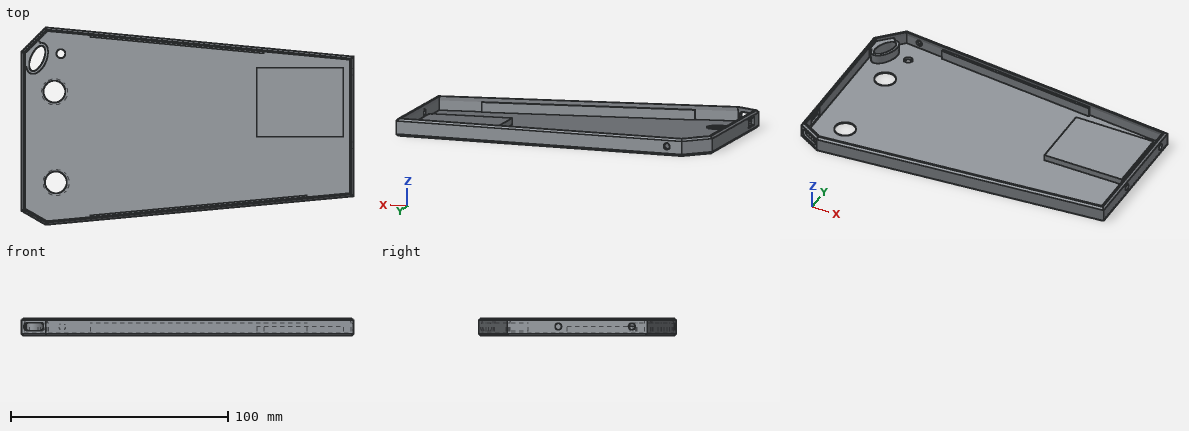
import cadquery as cq

length = 153.1
width = 91.06
height = 8.1
corner_length = 11.3
upper_corner_drop = 11.3
lower_corner_rise = 6.5
narrow_end_low = 13.1
narrow_end_high = 77.6
edge_chamfer = 1.0

floor_thickness = 1.5
wall_thickness = 1.35
rim_thickness = 1.7
lip_height = 2.0
lip_bottom = height - lip_height

rib_reach = 2.5
rib_start = 31.7
upper_rib_end = 111.6
lower_rib_end = 131.5

pad_length = 40.0
pad_width = 32.0
pad_height = 3.0
pad_center = (128.4, 56.5)

oval_center = (7.3, 76.7)
oval_major_radius = 6.2
oval_minor_radius = 2.9
oval_angle = 66.0
collar_thickness = 1.4

web_low_y = 71.1
web_wall_point = (6.8, 86.0)
web_collar_point = (8.7, 84.1)

large_hole_diameter = 10.0
large_hole_centers = [(15.2, 61.4), (15.9, 19.6)]
small_hole_diameter = 4.0
small_hole_center = (18.2, 78.9)

wall_hole_diameter = 3.0
wall_hole_z = 4.3
side_hole_x = 18.8
end_hole_ys = [70.6, 36.7]
slot_bottom = 2.4
slot_top = lip_bottom
slot_height = slot_top - slot_bottom
slot_mid_z = (slot_bottom + slot_top) / 2
port_low = 13.8
port_high = 22.5
corner_slot_length = 10.4
cut_reach = 4.0

OUTLINE = [
    (0, lower_corner_rise),
    (corner_length, 0),
    (length, narrow_end_low),
    (length, narrow_end_high),
    (corner_length, width),
    (0, width - upper_corner_drop),
]

WEB_OUTLINE = [
    oval_center,
    (0, web_low_y),
    (0, width - upper_corner_drop),
    web_wall_point,
    web_collar_point,
]


def outline(inset, z):
    """Plate outline moved inward by inset, on the plane at height z."""
    sketch = cq.Workplane("XY", origin=(0, 0, z)).polyline(OUTLINE).close()
    return sketch.offset2D(-inset, "intersection") if inset else sketch


def frustum(inset_low, z_low, inset_high, z_high):
    """Solid between two inset outlines."""
    low = outline(inset_low, z_low).val()
    high = outline(inset_high, z_high).val()
    return cq.Workplane(cq.Solid.makeLoft([low, high], True))


def prism(inset, z_low, z_high):
    return outline(inset, z_low).extrude(z_high - z_low)


def tray():
    body = prism(0, 0, height).faces("<Z or >Z").edges().chamfer(edge_chamfer)
    cavity = prism(wall_thickness, floor_thickness, lip_bottom)
    mouth = frustum(wall_thickness, lip_bottom, rim_thickness, height)
    return body.cut(cavity).cut(mouth)


def rib_zone(end, y_low):
    """Half of the tray, split along X, between the rib start and end."""
    block = cq.Workplane("XY").box(end - rib_start, width / 2, height, centered=False)
    return block.translate((rib_start, y_low, 0))


def ribs():
    """Bands along the two long walls, level with the bottom of the lip."""
    outer = prism(wall_thickness, floor_thickness, lip_bottom)
    inner = prism(rib_reach, floor_thickness, lip_bottom)
    zones = rib_zone(upper_rib_end, width / 2).union(rib_zone(lower_rib_end, 0))
    return outer.cut(inner).intersect(zones)


def pad():
    sketch = cq.Workplane("XY", origin=(*pad_center, floor_thickness))
    return sketch.rect(pad_length, pad_width).extrude(pad_height)


def oval(growth, z_top):
    """Upright oval column, its radii increased by growth."""
    sketch = cq.Workplane("XY").ellipse(oval_major_radius + growth, oval_minor_radius + growth)
    column = sketch.extrude(z_top)
    return column.rotate((0, 0, 0), (0, 0, 1), oval_angle).translate((*oval_center, 0))


def collar():
    web = cq.Workplane("XY").polyline(WEB_OUTLINE).close().extrude(lip_bottom)
    ring = oval(collar_thickness, lip_bottom).union(web)
    return ring.intersect(prism(edge_chamfer, 0, height))


def large_holes():
    """Round holes with a chamfered edge on the underside."""
    radius = large_hole_diameter / 2
    holes = cq.Workplane("XY").pushPoints(large_hole_centers).circle(radius).extrude(floor_thickness)
    for center in large_hole_centers:
        cone = cq.Solid.makeCone(radius + edge_chamfer, radius, edge_chamfer, cq.Vector(*center, 0))
        holes = holes.union(cq.Workplane(cone))
    return holes


def small_hole():
    sketch = cq.Workplane("XY").center(*small_hole_center).circle(small_hole_diameter / 2)
    return sketch.extrude(floor_thickness)


def end_holes():
    sketch = cq.Workplane("YZ", origin=(length - cut_reach, 0, 0))
    centers = [(y, wall_hole_z) for y in end_hole_ys]
    return sketch.pushPoints(centers).circle(wall_hole_diameter / 2).extrude(cut_reach)


def side_hole():
    """Hole through the tapering +Y wall, square to the wall."""
    taper = (width - narrow_end_high) / (length - corner_length)
    wall_y = width - taper * (side_hole_x - corner_length)
    wall_plane = cq.Plane(
        origin=(side_hole_x, wall_y, wall_hole_z),
        xDir=(1, -taper, 0),
        normal=(taper, 1, 0),
    )
    return cq.Workplane(wall_plane).circle(wall_hole_diameter / 2).extrude(cut_reach, both=True)


def port():
    block = cq.Workplane("XY").box(2 * cut_reach, port_high - port_low, slot_height, centered=False)
    return block.translate((-cut_reach, port_low, slot_bottom))


def corner_slot():
    """Round-ended slot square to the -Y cut corner."""
    face_plane = cq.Plane(
        origin=(corner_length / 2, lower_corner_rise / 2, slot_mid_z),
        xDir=(corner_length, -lower_corner_rise, 0),
        normal=(-lower_corner_rise, -corner_length, 0),
    )
    return cq.Workplane(face_plane).slot2D(corner_slot_length, slot_height).extrude(cut_reach, both=True)


result = tray().union(ribs()).union(pad()).union(collar())
result = result.cut(oval(0, height)).cut(large_holes()).cut(small_hole())
result = result.cut(end_holes()).cut(side_hole()).cut(port()).cut(corner_slot())